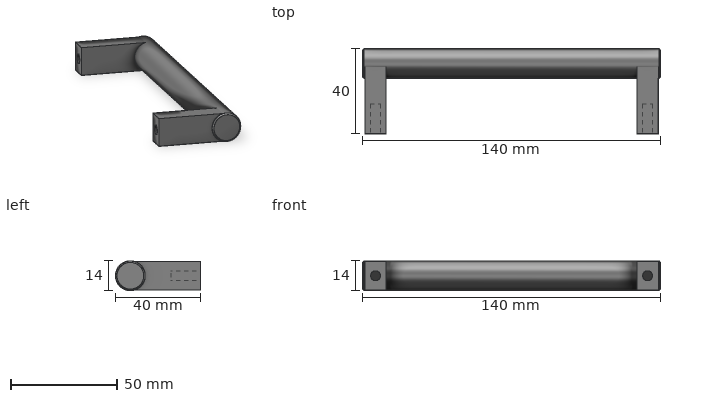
import cadquery as cq

bar_length = 140.0
bar_diameter = 14.0
bar_chamfer = 0.7

overall_depth = 40.0
post_width = 10.1
post_height = 13.6
post_inset = 1.0

hole_diameter = 4.6
hole_depth = 14.0

bar_radius = bar_diameter / 2
mounting_face_y = bar_radius - overall_depth
post_center_x = bar_length / 2 - post_inset - post_width / 2


def make_bar():
    """Round bar with chamfered ends."""
    bar = cq.Workplane("YZ", origin=(-bar_length / 2, 0, 0)).circle(bar_radius).extrude(bar_length)
    return bar.faces("<X or >X").chamfer(bar_chamfer)


def make_post(center_x):
    """Rectangular post from the bar axis to the mounting face, buried in the side of the bar."""
    post_length = -mounting_face_y
    post = cq.Workplane("XY").box(post_width, post_length, post_height)
    return post.translate((center_x, mounting_face_y / 2, 0))


def make_mounting_hole(center_x):
    """Cylinder that cuts a mounting hole along +Y from the free end of a post."""
    hole = cq.Workplane("XZ").circle(hole_diameter / 2).extrude(-hole_depth)
    return hole.translate((center_x, mounting_face_y, 0))


result = make_bar()
for x in (-post_center_x, post_center_x):
    result = result.union(make_post(x)).cut(make_mounting_hole(x))